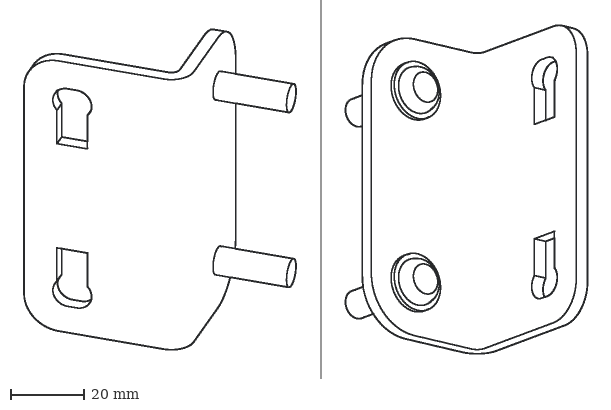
import cadquery as cq
import math

height = 85.0
base_length = 47.0
flange_depth = 41.5
sheet = 4.0
bend_inner_radius = 2.5
bend_outer_radius = bend_inner_radius + sheet
base_corner_radius = 10.0
flange_corner_radius = 15.0

keyhole_x = 14.0
keyhole_slot_width = 8.8
keyhole_head_radius = 4.3
keyhole_head_spread = 2.6
keyhole_head_end_gap = 8.3
keyhole_length = 17.8

stud_diameter = 8.0
stud_tip_x = 68.3
stud_y = flange_depth - flange_corner_radius
stud_end_distance = flange_corner_radius
washer_diameter = 16.2
washer_thickness = 1.4
head_diameter = 13.2
head_flat_diameter = 8.5
head_height = 3.6

inner_face_x = base_length - sheet
mid_height = height / 2


def make_bracket():
    """L-shaped sheet with a rounded bend and rounded free corners."""
    profile = (
        cq.Workplane("XY")
        .moveTo(0, 0)
        .lineTo(base_length - bend_outer_radius, 0)
        .radiusArc((base_length, bend_outer_radius), -bend_outer_radius)
        .lineTo(base_length, flange_depth)
        .lineTo(inner_face_x, flange_depth)
        .lineTo(inner_face_x, bend_outer_radius)
        .radiusArc((base_length - bend_outer_radius, sheet), bend_inner_radius)
        .lineTo(0, sheet)
        .close()
    )
    sheet_body = profile.extrude(height)
    sheet_body = sheet_body.faces("<X").edges("|Y").fillet(base_corner_radius)
    return sheet_body.faces(">Y").edges("|X").fillet(flange_corner_radius)


def make_upper_keyhole():
    """Cutter for the keyhole near the top: a wide rounded head over a straight slot."""
    head_top = height - keyhole_head_end_gap
    head_z = head_top - keyhole_head_radius
    slot_bottom = head_top - keyhole_length
    head = (
        cq.Workplane("XZ", origin=(keyhole_x, sheet, head_z))
        .slot2D(keyhole_head_spread + 2 * keyhole_head_radius, 2 * keyhole_head_radius)
        .extrude(sheet)
    )
    slot = (
        cq.Workplane("XZ", origin=(keyhole_x, sheet, (head_z + slot_bottom) / 2))
        .rect(keyhole_slot_width, head_z - slot_bottom)
        .extrude(sheet)
    )
    return head.union(slot)


def make_upper_stud():
    """Stud near the top: domed head with a flat, washer and plain shank, turned about X."""
    washer_face_x = inner_face_x - washer_thickness
    head_face_x = washer_face_x - head_height
    head_radius = head_diameter / 2
    head_flat_radius = head_flat_diameter / 2

    drop = head_radius - head_flat_radius
    dome_radius = (head_height ** 2 + drop ** 2) / (2 * drop)
    half_angle = math.asin(head_height / dome_radius) / 2
    dome_mid = (
        washer_face_x - dome_radius * math.sin(half_angle),
        head_radius - dome_radius * (1 - math.cos(half_angle)),
    )
    half_section = (
        cq.Workplane("XY", origin=(0, stud_y, height - stud_end_distance))
        .moveTo(head_face_x, 0)
        .lineTo(head_face_x, head_flat_radius)
        .threePointArc(dome_mid, (washer_face_x, head_radius))
        .lineTo(washer_face_x, washer_diameter / 2)
        .lineTo(inner_face_x, washer_diameter / 2)
        .lineTo(inner_face_x, stud_diameter / 2)
        .lineTo(stud_tip_x, stud_diameter / 2)
        .lineTo(stud_tip_x, 0)
        .close()
    )
    return half_section.revolve(360, (0, 0, 0), (1, 0, 0))


def mirror_to_lower(shape):
    """Mirror a shape from the upper half about mid height."""
    return shape.mirror("XY", (0, 0, mid_height))


upper_keyhole = make_upper_keyhole()
upper_stud = make_upper_stud()

result = make_bracket()
for keyhole in (upper_keyhole, mirror_to_lower(upper_keyhole)):
    result = result.cut(keyhole)
for stud in (upper_stud, mirror_to_lower(upper_stud)):
    result = result.union(stud)